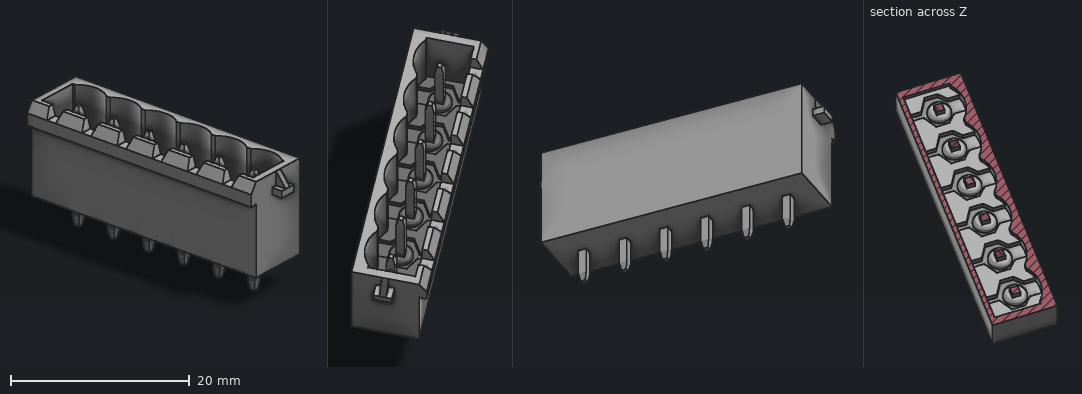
import cadquery as cq


pin_count = 6
pitch = 5.08
pin_xs = [(i - (pin_count - 1) / 2) * pitch for i in range(pin_count)]

overall_length = 35.28
lug_reach = 1.4
housing_length = overall_length - 2 * lug_reach
housing_height = 12
housing_depth = 7.75
back_y = 3.8
front_y = back_y - housing_depth
housing_mid_y = (back_y + front_y) / 2

lip_reach = 0.85
lip_height = 2.85
lip_slope_drop = 1.3
lip_y = front_y - lip_reach

end_wall = 0.95
cavity_half_length = housing_length / 2 - end_wall
cavity_depth = 8.45
cavity_front_y = front_y + 0.65
cavity_back_y = 2.1
cavity_floor_z = housing_height - cavity_depth
scallop_half_width = 2.25
scallop_top_y = 2.95

pocket_depth = 0.7
pocket_half_width = 2.0
pocket_side_top_y = 0.5
pocket_side_bottom_y = -1.05
back_channel_half_width = 1.05
back_channel_start_y = 1.38
front_channel_half_width = 0.42
front_channel_start_y = -2.0
pocket_floor_z = cavity_floor_z - pocket_depth

boss_radius = 2.75 / 2
boss_rounding = 0.53

notch_top_width = 2.0
notch_floor_width = 1.27
notch_depth = lip_slope_drop

lug_width = 2.1
lug_top_drop = 1.8
lug_bottom_drop = 2.68
rib_width = 0.78

pin_width = 1.0
pin_bottom_z = -4.02
pin_top_z = housing_height - 1.05
top_taper_height = 1.0
top_end_width = 0.5
bottom_taper_height = 0.95
bottom_end_width = 0.6


def make_shell():
    """Housing block with the lip, as one side profile drawn out along X."""
    return (
        cq.Workplane("YZ", origin=(-housing_length / 2, 0, 0))
        .moveTo(back_y, 0)
        .lineTo(back_y, housing_height)
        .lineTo(front_y, housing_height)
        .lineTo(lip_y, housing_height - lip_slope_drop)
        .lineTo(lip_y, housing_height - lip_height)
        .lineTo(front_y, housing_height - lip_height)
        .lineTo(front_y, 0)
        .close()
        .extrude(housing_length)
    )


def make_cavity():
    """Open cavity whose back wall has one shallow scallop behind each pin."""
    outline = (
        cq.Workplane("XY", origin=(0, 0, cavity_floor_z))
        .moveTo(cavity_half_length, cavity_front_y)
        .lineTo(-cavity_half_length, cavity_front_y)
        .lineTo(-cavity_half_length, cavity_back_y)
    )
    for x in pin_xs:
        outline = outline.lineTo(x - scallop_half_width, cavity_back_y).threePointArc(
            (x, scallop_top_y), (x + scallop_half_width, cavity_back_y)
        )
    return outline.lineTo(cavity_half_length, cavity_back_y).close().extrude(cavity_depth)


def make_pocket(x):
    """Keyhole pocket, open to the cavity above; its back end follows the scallop."""
    right_side = [
        (front_channel_half_width, cavity_front_y),
        (front_channel_half_width, front_channel_start_y),
        (pocket_half_width, pocket_side_bottom_y),
        (pocket_half_width, pocket_side_top_y),
        (back_channel_half_width, back_channel_start_y),
        (back_channel_half_width, scallop_top_y),
    ]
    left_side = [(-px, py) for px, py in reversed(right_side)]
    keyhole = (
        cq.Workplane("XY", origin=(x, 0, pocket_floor_z))
        .polyline(right_side + left_side)
        .close()
        .extrude(pocket_depth)
    )
    return keyhole.intersect(make_cavity().translate((0, 0, -pocket_depth)))


def make_boss(x):
    """Round boss with a quarter-round shoulder."""
    flat_radius = boss_radius - boss_rounding
    top_z = pocket_floor_z + boss_rounding
    shoulder_mid = boss_rounding * 0.5**0.5
    return (
        cq.Workplane("XZ", origin=(x, 0, 0))
        .moveTo(0, pocket_floor_z)
        .lineTo(boss_radius, pocket_floor_z)
        .threePointArc(
            (flat_radius + shoulder_mid, pocket_floor_z + shoulder_mid),
            (flat_radius, top_z),
        )
        .lineTo(0, top_z)
        .close()
        .revolve(360, (0, 0), (0, 1))
    )


def make_notch(x):
    """Tapered notch cut through the front wall and lip."""
    notch_floor_z = housing_height - notch_depth
    return (
        cq.Workplane("XZ", origin=(x, cavity_front_y, 0))
        .moveTo(-notch_floor_width / 2, notch_floor_z)
        .lineTo(notch_floor_width / 2, notch_floor_z)
        .lineTo(notch_top_width / 2, housing_height)
        .lineTo(-notch_top_width / 2, housing_height)
        .close()
        .extrude(cavity_front_y - lip_y)
    )


def make_right_lug():
    """Block on the +X end wall with a sloped rib above it."""
    wall_x = housing_length / 2
    lug_top_z = housing_height - lug_top_drop
    lug_height = lug_bottom_drop - lug_top_drop
    block = (
        cq.Workplane("XY", origin=(wall_x + lug_reach / 2, housing_mid_y, lug_top_z - lug_height))
        .rect(lug_reach, lug_width)
        .extrude(lug_height)
    )
    rib = (
        cq.Workplane("XZ", origin=(wall_x, housing_mid_y + rib_width / 2, 0))
        .moveTo(0, lug_top_z)
        .lineTo(lug_reach, lug_top_z)
        .lineTo(0, housing_height)
        .close()
        .extrude(rib_width)
    )
    return block.union(rib)


def make_pin(x):
    """Square pin tapered at both ends."""
    shaft_top_z = pin_top_z - top_taper_height
    shaft_bottom_z = pin_bottom_z + bottom_taper_height
    shaft = (
        cq.Workplane("XY", origin=(x, 0, shaft_bottom_z))
        .rect(pin_width, pin_width)
        .extrude(shaft_top_z - shaft_bottom_z)
    )
    top_taper = (
        cq.Workplane("XY", origin=(x, 0, shaft_top_z))
        .rect(pin_width, pin_width)
        .workplane(offset=top_taper_height)
        .rect(top_end_width, top_end_width)
        .loft()
    )
    bottom_taper = (
        cq.Workplane("XY", origin=(x, 0, pin_bottom_z))
        .rect(bottom_end_width, bottom_end_width)
        .workplane(offset=bottom_taper_height)
        .rect(pin_width, pin_width)
        .loft()
    )
    return shaft.union(top_taper).union(bottom_taper)


def make_housing():
    """Shell with cavity, and at every pin a pocket, boss, notch and fitting square hole."""
    right_lug = make_right_lug()
    body = make_shell().cut(make_cavity()).union(right_lug).union(right_lug.mirror("YZ"))
    for x in pin_xs:
        body = body.cut(make_pocket(x)).union(make_boss(x)).cut(make_notch(x))
    pin_holes = (
        cq.Workplane("XY")
        .pushPoints([(x, 0) for x in pin_xs])
        .rect(pin_width, pin_width)
        .extrude(housing_height)
    )
    return body.cut(pin_holes)


housing = make_housing().solids()
pins = [make_pin(x).solids() for x in pin_xs]

result = cq.Compound.makeCompound([housing.val(), *[pin.val() for pin in pins]])